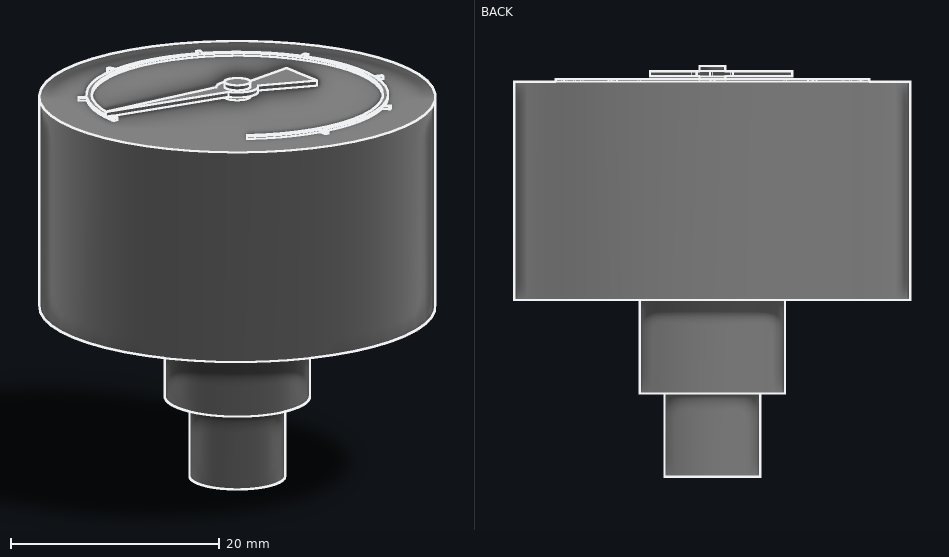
import cadquery as cq
import math

spigot_diameter = 9.23
spigot_height = 8.0
collar_diameter = 14.0
collar_height = 9.0

case_diameter = 38.1
case_height = 21.0
collar_base_z = spigot_height
case_base_z = collar_base_z + collar_height
dial_z = case_base_z + case_height

scale_inner_radius = 14.0
scale_line_width = 0.5
scale_outer_radius = scale_inner_radius + scale_line_width
scale_relief = 0.25
scale_half_sweep = 150.5
tick_outer_radius = 15.3
tick_width = 0.4
tick_step = 40.0
ticks_per_side = 3

pin_diameter = 2.5
pin_height = 1.5
pointer_gap = 0.5
pointer_thickness = 0.5
pointer_angle = 150.0
hub_radius = 2.0
needle_length = 15.3
needle_tip_half_width = 0.05
needle_base_half_width = 1.0
tail_length = 7.5
tail_end_half_width = 2.6
tail_base_half_width = 0.8


def cylinder(diameter, height, base_z):
    return cq.Workplane("XY").workplane(offset=base_z).circle(diameter / 2).extrude(height)


def polar(radius, angle_from_y):
    """Point at a radius and an angle in degrees, clockwise from +Y."""
    angle = math.radians(angle_from_y)
    return (radius * math.sin(angle), radius * math.cos(angle))


def hub_chord_distance(half_width):
    """Distance from the hub center to a chord of the given half width."""
    return math.sqrt(hub_radius**2 - half_width**2)


def make_scale_arc():
    return (
        cq.Workplane("XY")
        .workplane(offset=dial_z)
        .moveTo(*polar(scale_outer_radius, -scale_half_sweep))
        .threePointArc(polar(scale_outer_radius, 0), polar(scale_outer_radius, scale_half_sweep))
        .lineTo(*polar(scale_inner_radius, scale_half_sweep))
        .threePointArc(polar(scale_inner_radius, 0), polar(scale_inner_radius, -scale_half_sweep))
        .close()
        .extrude(scale_relief)
    )


def make_tick(angle_from_y):
    root_radius = (scale_inner_radius + scale_outer_radius) / 2
    length = tick_outer_radius - root_radius
    return (
        cq.Workplane("XY")
        .workplane(offset=dial_z)
        .center(0, root_radius + length / 2)
        .rect(tick_width, length)
        .extrude(scale_relief)
        .rotate((0, 0, 0), (0, 0, 1), -angle_from_y)
    )


def make_pointer():
    pointer_z = dial_z + pointer_gap
    needle_base_y = hub_chord_distance(needle_base_half_width)
    tail_base_y = -hub_chord_distance(tail_base_half_width)
    blade_outline = [
        (-needle_tip_half_width, needle_length),
        (needle_tip_half_width, needle_length),
        (needle_base_half_width, needle_base_y),
        (tail_base_half_width, tail_base_y),
        (tail_end_half_width, -tail_length),
        (-tail_end_half_width, -tail_length),
        (-tail_base_half_width, tail_base_y),
        (-needle_base_half_width, needle_base_y),
    ]
    blade = (
        cq.Workplane("XY")
        .workplane(offset=pointer_z)
        .polyline(blade_outline)
        .close()
        .extrude(pointer_thickness)
    )
    hub = cylinder(2 * hub_radius, pointer_thickness, pointer_z)
    return blade.union(hub).rotate((0, 0, 0), (0, 0, 1), pointer_angle)


spigot = cylinder(spigot_diameter, spigot_height, 0)
collar = cylinder(collar_diameter, collar_height, collar_base_z)
case = cylinder(case_diameter, case_height, case_base_z)
pin = cylinder(pin_diameter, pin_height, dial_z)

scale = make_scale_arc()
for tick_index in range(-ticks_per_side, ticks_per_side + 1):
    scale = scale.union(make_tick(tick_index * tick_step))

result = spigot.union(collar).union(case).union(scale).union(pin).union(make_pointer())